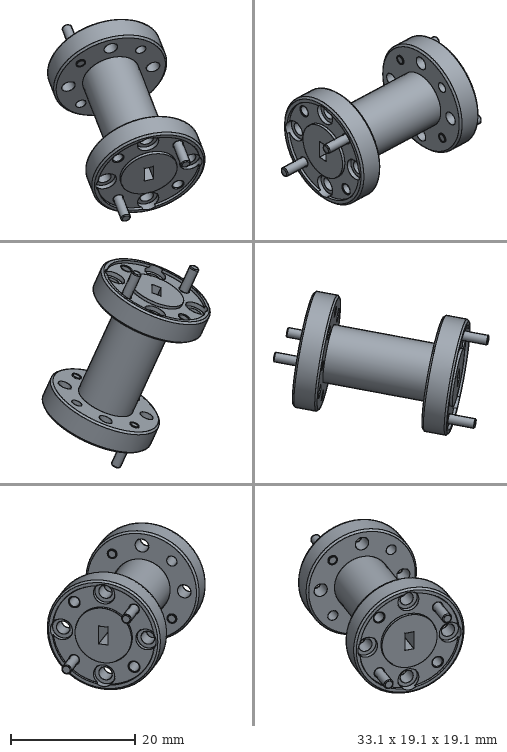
import cadquery as cq
import math

overall_length = 33.15
body_length = 25.4
flange_thickness = 4.08

flange_diameter = 19.05
flange_chamfer = 0.33
tube_diameter = 9.5
recess_diameter = 17.25
recess_depth = 0.5

bore_width = 1.55
bore_height = 3.1

hole_circle_radius = 7.13
screw_hole_diameter = 2.25
counterbore_diameter = 3.58
counterbore_depth = 1.25
clearance_hole_diameter = 1.72
clearance_hole_chamfer = 0.13
pin_hole_chamfer = 0.1

pin_diameter = 1.6
pin_chamfer = 0.15

face_x = body_length / 2
pin_protrusion = (overall_length - body_length) / 2
pin_length = flange_thickness + pin_protrusion

screw_angles = [0, 90, 180, 270]
pin_angles = [45, 225]
clearance_angles = [135, 315]


def on_hole_circle(angle):
    """Y and Z of a point on the hole circle, with the angle measured from +Y towards +Z."""
    turn = math.radians(angle)
    return hole_circle_radius * math.cos(turn), hole_circle_radius * math.sin(turn)


def cylinder(diameter, start_x, length, center=(0, 0)):
    """Cylinder along +X from start_x, with its axis at the given Y and Z."""
    return cq.Workplane("YZ", origin=(start_x, 0, 0)).center(*center).circle(diameter / 2).extrude(length)


def turned_to_other_end(solid):
    """Copy a +X end feature to the -X end by half a turn about Z, swapping pin and clearance places."""
    return solid.rotate((0, 0, 0), (0, 0, 1), 180)


def chamfered_hole(diameter, chamfer, angle):
    """Cutter for a hole through the +X flange, widened by a chamfer where it meets the recess floor."""
    floor_x = face_x - recess_depth
    inner_x = face_x - flange_thickness
    place = on_hole_circle(angle)
    countersink = cq.Workplane(
        cq.Solid.makeCone(
            diameter / 2,
            diameter / 2 + chamfer,
            chamfer,
            pnt=cq.Vector(floor_x - chamfer, *place),
            dir=cq.Vector(1, 0, 0),
        )
    )
    return cylinder(diameter, inner_x, floor_x - inner_x, place).union(countersink)


def make_flange():
    """The +X flange, with its face recess and all of its holes."""
    inner_x = face_x - flange_thickness
    flange = cylinder(flange_diameter, inner_x, flange_thickness).edges().chamfer(flange_chamfer)

    recess = cylinder(recess_diameter, face_x - recess_depth, recess_depth)
    boss = cylinder(tube_diameter, face_x - recess_depth, recess_depth)
    flange = flange.cut(recess.cut(boss))

    for angle in screw_angles:
        place = on_hole_circle(angle)
        flange = flange.cut(cylinder(screw_hole_diameter, inner_x, flange_thickness, place))
        flange = flange.cut(
            cylinder(counterbore_diameter, face_x - counterbore_depth, counterbore_depth, place)
        )
    for angle in clearance_angles:
        flange = flange.cut(chamfered_hole(clearance_hole_diameter, clearance_hole_chamfer, angle))
    for angle in pin_angles:
        flange = flange.cut(chamfered_hole(pin_diameter, pin_hole_chamfer, angle))
    return flange


def make_waveguide():
    """Tube with a flange at each end and the rectangular bore right through."""
    tube_length = body_length - 2 * flange_thickness
    flange = make_flange()
    waveguide = cylinder(tube_diameter, -tube_length / 2, tube_length)
    waveguide = waveguide.union(flange).union(turned_to_other_end(flange))
    bore = cq.Workplane("XY").box(body_length, bore_width, bore_height)
    return waveguide.cut(bore)


def make_pin(angle):
    """Dowel pin of the +X flange, flush with the inner flange face and chamfered at both ends."""
    pin = cylinder(pin_diameter, face_x - flange_thickness, pin_length, on_hole_circle(angle))
    return pin.faces("<X or >X").chamfer(pin_chamfer)


waveguide = make_waveguide()

pins = []
for angle in pin_angles:
    pin = make_pin(angle)
    pins.append(pin.val())
    pins.append(turned_to_other_end(pin).val())

result = cq.Compound.makeCompound([waveguide.val(), *pins])